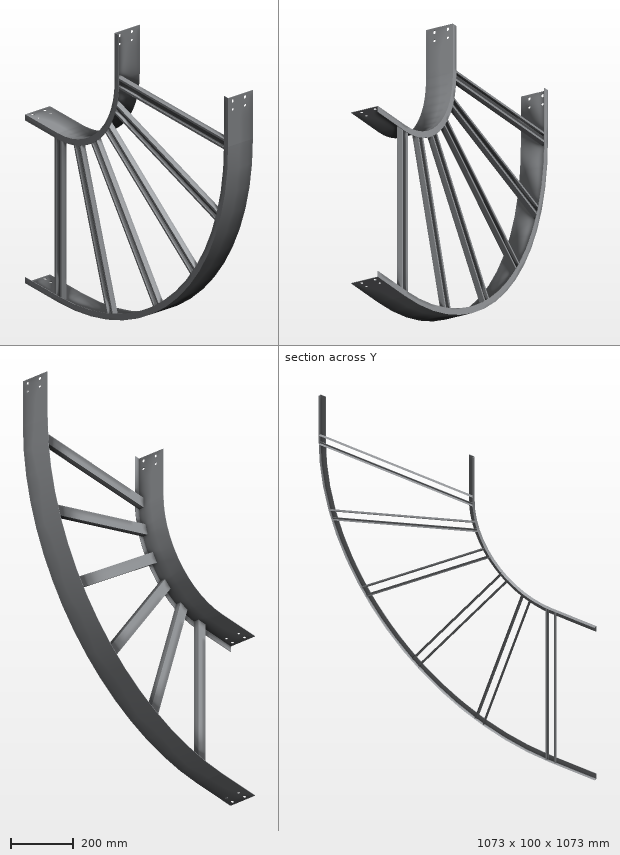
import cadquery as cq
import math

span = 1073.0
height = 100.0
bend_angle = 90.0
straight = 173.0
inner_radius = 300.0
outer_radius = span - straight

sheet = 1.6
flange_width = 21.0

rung_count = 6
rung_width = 36.0
slot_width = 21.0
rung_top = 20.0

end_slot_offset = 15.0
end_slot_length = 12.0
hole_offset = 45.0
hole_diameter = 9.0
hole_heights = (19.0, 69.0)

centre = straight - span / 2
centre_z = -centre
y_min = -height / 2
y_max = height / 2
end_x = centre - straight
end_z = centre_z + straight
diagonal = math.sqrt(0.5)


def quarter_band(radius_a, radius_b, y_low, y_high):
    """Band between two radii: a quarter turn with a straight length at each end."""

    def corner(radius):
        return centre + radius * diagonal, centre_z - radius * diagonal

    return (
        cq.Workplane("XZ", origin=(0, y_high, 0))
        .moveTo(end_x, centre_z - radius_a)
        .lineTo(centre, centre_z - radius_a)
        .threePointArc(corner(radius_a), (centre + radius_a, centre_z))
        .lineTo(centre + radius_a, end_z)
        .lineTo(centre + radius_b, end_z)
        .lineTo(centre + radius_b, centre_z)
        .threePointArc(corner(radius_b), (centre, centre_z - radius_b))
        .lineTo(end_x, centre_z - radius_b)
        .close()
        .extrude(y_high - y_low)
    )


def rail(web_radius, side):
    """L-section rail; side is +1 or -1 for a flange pointing to larger or smaller radii."""
    web = quarter_band(web_radius, web_radius + side * sheet, y_min, y_max)
    flange = quarter_band(web_radius, web_radius + side * flange_width, y_min, y_min + sheet)
    return web.union(flange)


def rung(angle):
    """Slotted bar running radially from web to web, turned by angle from +X."""
    base = y_min + sheet
    top = y_min + rung_top

    def bar(width, y_low, y_high):
        return cq.Workplane("XY", origin=(0, y_low, 0)).box(
            span, y_high - y_low, width, centered=(False, False, True)
        )

    floor = top - sheet
    channel = (
        bar(rung_width, base, top)
        .cut(bar(rung_width - 2 * sheet, base + sheet, floor))
        .cut(bar(slot_width, base, floor))
    )
    turned = channel.rotate((0, 0, 0), (0, 1, 0), angle)
    return turned.translate((centre, 0, centre_z))


def end_holes():
    """Cutters for the fixing holes, through both webs at the -X end."""
    plane = cq.Workplane("XY", origin=(0, 0, -span))
    ys = [y_min + h for h in hole_heights]
    slots = (
        plane.pushPoints([(end_x + end_slot_offset, y) for y in ys])
        .slot2D(end_slot_length, hole_diameter)
        .extrude(2 * span)
    )
    holes = (
        plane.pushPoints([(end_x + hole_offset, y) for y in ys])
        .circle(hole_diameter / 2)
        .extrude(2 * span)
    )
    return slots.union(holes)


result = rail(inner_radius, 1).union(rail(outer_radius, -1))
rung_zone = quarter_band(inner_radius, outer_radius - sheet, y_min, y_max)
for i in range(rung_count):
    angle = bend_angle * i / (rung_count - 1)
    result = result.union(rung(angle).intersect(rung_zone))

x_end_holes = end_holes()
result = result.cut(x_end_holes).cut(x_end_holes.mirror((1, 0, 1)))